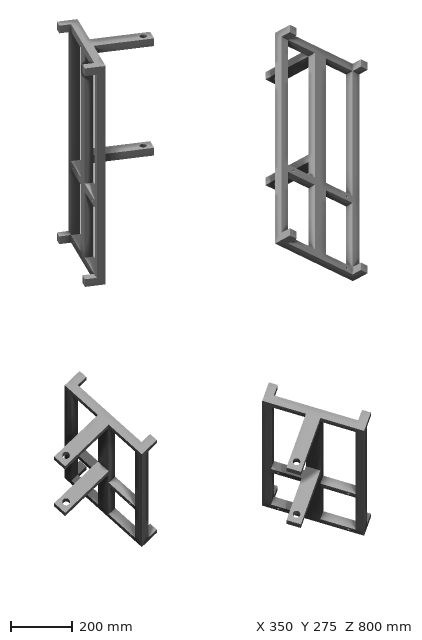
import cadquery as cq

width = 350.0
height = 800.0
bar = 30.0
rung_height = 28.0
spine_width = 50.0
foot_length = 40.0
arm_length = 205.0
middle_rung_z = 271.0

lower_arm_z = 371.0
arm_hole_diameter = 25.0
arm_hole_setback = 30.0

rung_hole_diameter = 10.0
rung_hole_spacing = 240.0

top_rung_z = height - rung_height
rail_x = (width - bar) / 2
frame_back_y = bar


def block(size_x, size_y, size_z, center_x, front_y, bottom_z):
    """Box centred on center_x, starting at front_y and bottom_z."""
    box = cq.Workplane("XY").box(size_x, size_y, size_z, centered=(True, False, False))
    return box.translate((center_x, front_y, bottom_z))


def drilled_arm(bottom_z):
    """Rearward arm with a vertical hole near its end."""
    arm = block(spine_width, arm_length, rung_height, 0, frame_back_y, bottom_z)
    hole_y = frame_back_y + arm_length - arm_hole_setback
    hole = cq.Workplane("XY").circle(arm_hole_diameter / 2).extrude(rung_height)
    return arm.cut(hole.translate((0, hole_y, bottom_z)))


result = block(spine_width, bar, height, 0, 0, 0)
for side in (-1, 1):
    result = result.union(block(bar, bar, height, side * rail_x, 0, 0))
for rung_z in (0, middle_rung_z, top_rung_z):
    result = result.union(block(width, bar, rung_height, 0, 0, rung_z))

for side in (-1, 1):
    for foot_z in (0, top_rung_z):
        foot = block(bar, foot_length, rung_height, side * rail_x, -foot_length, foot_z)
        result = result.union(foot)

for arm_z in (lower_arm_z, top_rung_z):
    result = result.union(drilled_arm(arm_z))

for rung_z in (0, middle_rung_z):
    for side in (-1, 1):
        hole = cq.Workplane("XZ").circle(rung_hole_diameter / 2).extrude(-bar)
        hole_x = side * rung_hole_spacing / 2
        result = result.cut(hole.translate((hole_x, 0, rung_z + rung_height / 2)))